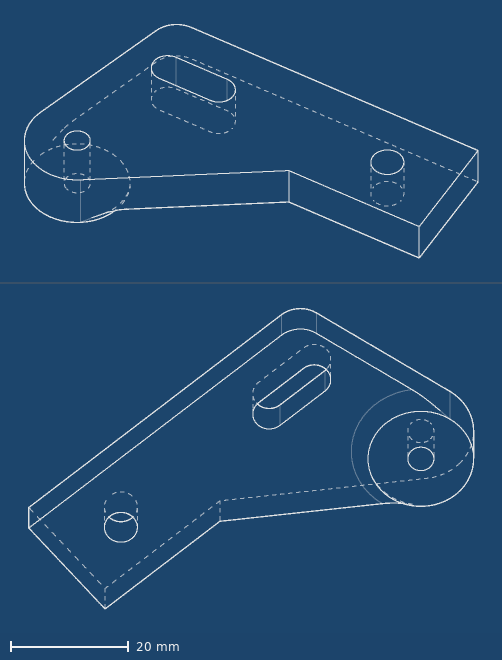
import cadquery as cq
import math

length = 69.0
height = 10.8
plate_thickness = 8.0
boss_radius = 9.0
boss_drop = height - plate_thickness

right_x = length - boss_radius
top_y = 41.0 - boss_radius
arm_width = 20.0
arm_bottom_y = top_y - arm_width
arm_corner_x = 34.5
corner_radius = 5.0
corner_center_x = 3.85
corner_center_y = top_y - corner_radius

boss_hole_diameter = 4.4
arm_hole_diameter = 5.6
arm_hole_x = 48.0
slot_width = 5.6
slot_start_x = 5.05
slot_spacing = 10.0
openings_y = top_y - arm_width / 2


def polar(radius, angle, center_x=0.0, center_y=0.0):
    """Point at a radius and angle (radians) from a centre."""
    return (center_x + radius * math.cos(angle), center_y + radius * math.sin(angle))


def plate_outline():
    """Closed outline with straight edges tangent to the boss and corner arcs."""
    center_distance = math.hypot(corner_center_x, corner_center_y)
    center_angle = math.atan2(corner_center_y, corner_center_x)
    left_angle = center_angle + math.acos((boss_radius - corner_radius) / center_distance)

    arm_distance = math.hypot(arm_corner_x, arm_bottom_y)
    arm_angle = math.atan2(arm_bottom_y, arm_corner_x)
    lower_angle = arm_angle - math.acos(boss_radius / arm_distance)

    boss_middle_angle = (left_angle + lower_angle + 2 * math.pi) / 2
    corner_middle_angle = (left_angle + math.pi / 2) / 2
    corner_center = (corner_center_x, corner_center_y)

    return (
        cq.Workplane("XY")
        .moveTo(corner_center_x, top_y)
        .lineTo(right_x, top_y)
        .lineTo(right_x, arm_bottom_y)
        .lineTo(arm_corner_x, arm_bottom_y)
        .lineTo(*polar(boss_radius, lower_angle))
        .threePointArc(
            polar(boss_radius, boss_middle_angle),
            polar(boss_radius, left_angle),
        )
        .lineTo(*polar(corner_radius, left_angle, *corner_center))
        .threePointArc(
            polar(corner_radius, corner_middle_angle, *corner_center),
            (corner_center_x, top_y),
        )
        .close()
    )


def flared_boss():
    """Boss with a concave fillet that flares into the plate's underside."""
    flare_radius = boss_radius + boss_drop
    arc_offset = boss_drop * math.sqrt(0.5)
    return (
        cq.Workplane("XZ")
        .lineTo(boss_radius, 0)
        .threePointArc(
            (flare_radius - arc_offset, arc_offset),
            (flare_radius, boss_drop),
        )
        .lineTo(flare_radius, height)
        .lineTo(0, height)
        .close()
        .revolve(360, (0, 0), (0, 1))
    )


def through_openings():
    """Boss hole, arm hole and slot, all passing through the full height."""
    boss_hole = cq.Workplane("XY").circle(boss_hole_diameter / 2).extrude(height)
    arm_hole = (
        cq.Workplane("XY")
        .center(arm_hole_x, openings_y)
        .circle(arm_hole_diameter / 2)
        .extrude(height)
    )
    slot = (
        cq.Workplane("XY")
        .center(slot_start_x + slot_spacing / 2, openings_y)
        .slot2D(slot_spacing + slot_width, slot_width)
        .extrude(height)
    )
    return boss_hole.union(arm_hole).union(slot)


plate = plate_outline().extrude(plate_thickness).translate((0, 0, boss_drop))

boss = flared_boss().intersect(plate_outline().extrude(height))

result = plate.union(boss).cut(through_openings())